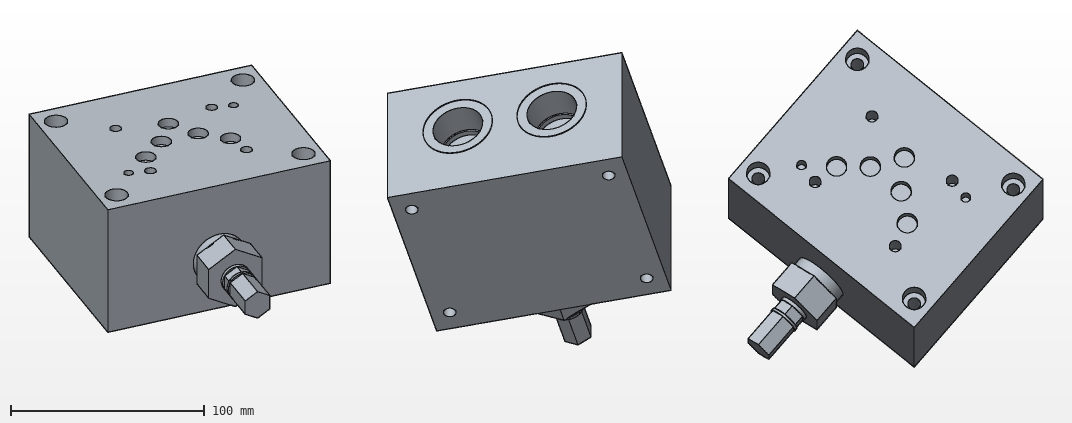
import cadquery as cq
import math

block_length = 103.8
block_width = 125.0
block_height = 74.0
block_middle = block_length / 2

mount_pitch_x = 79.9
mount_pitch_y = 104.9
mount_diameter = 6.5
mount_bore_diameter = 12.0
mount_bore_depth = 10.0

thread_diameter = 6.0
thread_depth = 15.5
thread_pitch_x = 45.9
thread_pitch_y = 53.9
thread_middle_x = 53.6

pin_hole_diameter = 5.0
pin_hole_depth = 7.7
pin_pitch_x = 41.0
pin_pitch_y = 76.3

oil_port_diameter = 10.5
oil_port_depth = 5.1
outer_port_x = 63.0
outer_port_y = 23.8
inner_port_x = 51.9
inner_port_y = 10.4
center_port_x = 37.0

pipe_pitch_y = 50.0
pipe_z = 42.0
spotface_diameter = 37.0
spotface_depth = 0.5
pipe_diameter = 26.4
pipe_depth = 17.5
drill_diameter = 24.5
drill_depth = 20.5
drill_point_angle = 118.0

cartridge_z = 30.0
neck_diameter = 29.0
neck_length = 5.9
nut_flats = 30.0
nut_length = 15.6
hex_half_angle = 30.0
spindle_diameter = 16.0
shoulder_length = 2.0
lock_hex_length = 5.9
ring_length = 1.5
overall_length = 154.5


def mirrored_pair(x, y):
    """Two points at the same X, mirrored about Y = 0."""
    return [(x, y), (x, -y)]


def rectangle_points(middle_x, pitch_x, pitch_y):
    """Corners of a hole rectangle that is centred on Y = 0."""
    return [
        (middle_x + side * pitch_x / 2, end * pitch_y / 2)
        for side in (-1, 1)
        for end in (-1, 1)
    ]


def top_drills(points, diameter, depth):
    """Flat-bottomed cylinders reaching down from the top face."""
    return (
        cq.Workplane("XY", origin=(0, 0, block_height))
        .pushPoints(points)
        .circle(diameter / 2)
        .extrude(-depth)
    )


def pipe_port(y):
    """Spotfaced, stepped port with a conical drill point, entering along +X."""
    pipe_radius = pipe_diameter / 2
    drill_radius = drill_diameter / 2
    point_length = drill_radius / math.tan(math.radians(drill_point_angle / 2))
    profile = [
        (0, 0),
        (0, spotface_diameter / 2),
        (spotface_depth, spotface_diameter / 2),
        (spotface_depth, pipe_radius),
        (pipe_depth, pipe_radius),
        (pipe_depth, drill_radius),
        (drill_depth, drill_radius),
        (drill_depth + point_length, 0),
    ]
    port = cq.Workplane("XY").polyline(profile).close().revolve(360, (0, 0, 0), (1, 0, 0))
    return port.translate((0, y, pipe_z))


def make_block():
    block = cq.Workplane("XY").box(
        block_length, block_width, block_height, centered=(False, True, False)
    )

    mount_points = rectangle_points(block_middle, mount_pitch_x, mount_pitch_y)
    block = block.cut(top_drills(mount_points, mount_diameter, block_height))
    block = block.cut(top_drills(mount_points, mount_bore_diameter, mount_bore_depth))

    thread_points = rectangle_points(thread_middle_x, thread_pitch_x, thread_pitch_y)
    block = block.cut(top_drills(thread_points, thread_diameter, thread_depth))

    pin_points = [
        (thread_middle_x + side * pin_pitch_x / 2, -side * pin_pitch_y / 2)
        for side in (-1, 1)
    ]
    block = block.cut(top_drills(pin_points, pin_hole_diameter, pin_hole_depth))

    oil_points = [
        (center_port_x, 0),
        *mirrored_pair(inner_port_x, inner_port_y),
        *mirrored_pair(outer_port_x, outer_port_y),
    ]
    block = block.cut(top_drills(oil_points, oil_port_diameter, oil_port_depth))

    for side in (-1, 1):
        block = block.cut(pipe_port(side * pipe_pitch_y / 2))
    return block


def round_section(start_x, diameter, length):
    """Cylinder on the cartridge axis, from start_x towards +X."""
    plane = cq.Workplane("YZ", origin=(start_x, 0, cartridge_z))
    return plane.circle(diameter / 2).extrude(length)


def hex_section(start_x, corner_diameter, length):
    """Hexagonal prism on the cartridge axis, with corners at top and bottom."""
    prism = cq.Workplane("YZ").polygon(6, corner_diameter).extrude(length)
    prism = prism.rotate((0, 0, 0), (1, 0, 0), 90)
    return prism.translate((start_x, 0, cartridge_z))


def make_cartridge():
    nut_corners = nut_flats / math.cos(math.radians(hex_half_angle))
    nut_x = block_length + neck_length
    shoulder_x = nut_x + nut_length
    lock_hex_x = shoulder_x + shoulder_length
    ring_x = lock_hex_x + lock_hex_length
    end_hex_x = ring_x + ring_length
    end_hex_length = overall_length - end_hex_x

    cartridge = round_section(block_length, neck_diameter, neck_length)
    cartridge = cartridge.union(hex_section(nut_x, nut_corners, nut_length))
    cartridge = cartridge.union(round_section(shoulder_x, spindle_diameter, shoulder_length))
    cartridge = cartridge.union(hex_section(lock_hex_x, spindle_diameter, lock_hex_length))
    cartridge = cartridge.union(round_section(ring_x, spindle_diameter, ring_length))
    cartridge = cartridge.union(hex_section(end_hex_x, spindle_diameter, end_hex_length))
    return cartridge


block = make_block()
cartridge = make_cartridge()
result = cq.Compound.makeCompound([block.val(), cartridge.val()])